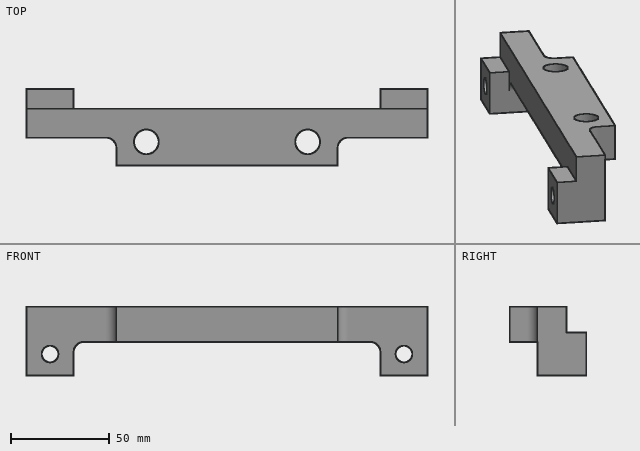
import cadquery as cq

length = 204.0
depth = 39.0
height = 35.0

bar_thickness = 18.0
tongue_length = 112.6
tongue_fillet = 5.0
bolt_hole_diameter = 12.5
bolt_hole_spacing = 82.0
bolt_hole_front_offset = 12.0

leg_width = 24.0
leg_depth = 24.9
leg_fillet = 5.0
shelf_depth = 10.0
shelf_drop = 13.0
leg_hole_diameter = 8.4
leg_hole_height = 11.0

bar_bottom = height - bar_thickness
leg_front = depth - leg_depth
bar_back = depth - shelf_depth
opening_length = length - 2 * leg_width
leg_hole_spacing = length - leg_width


def box(x_size, y_start, y_end, z_start, z_end):
    """Box centred in X between the given Y and Z limits."""
    return cq.Workplane("XY").box(
        x_size, y_end - y_start, z_end - z_start, centered=(True, False, False)
    ).translate((0, y_start, z_start))


def make_bridge():
    """Stepped bar on two legs, with a rounded opening between them."""
    upper = box(length, leg_front, bar_back, bar_bottom, height)
    lower = box(length, leg_front, depth, 0, height - shelf_drop)
    opening = box(opening_length, leg_front, bar_back, 0, bar_bottom)
    opening = opening.edges("|Y and >Z").fillet(leg_fillet)
    rear_gap = box(opening_length, bar_back, depth, 0, height)
    return upper.union(lower).cut(opening).cut(rear_gap)


def add_tongue(body):
    """Front tongue, flush with the top, blended into the bar."""
    tongue = box(tongue_length, 0, bar_back, bar_bottom, height)
    body = body.union(tongue)
    for side in (-1, 1):
        corner = (side * tongue_length / 2, leg_front, (bar_bottom + height) / 2)
        body = body.edges(cq.NearestToPointSelector(corner)).fillet(tongue_fillet)
    return body


def vertical_holes():
    half = bolt_hole_spacing / 2
    return (
        cq.Workplane("XY")
        .pushPoints([(-half, bolt_hole_front_offset), (half, bolt_hole_front_offset)])
        .circle(bolt_hole_diameter / 2)
        .extrude(height)
    )


def leg_holes():
    half = leg_hole_spacing / 2
    return (
        cq.Workplane("XZ")
        .pushPoints([(-half, leg_hole_height), (half, leg_hole_height)])
        .circle(leg_hole_diameter / 2)
        .extrude(-depth)
    )


result = add_tongue(make_bridge()).cut(vertical_holes()).cut(leg_holes())